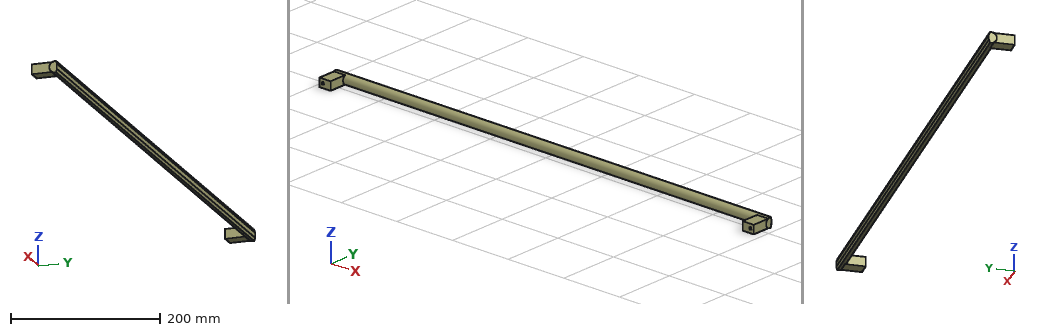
import cadquery as cq
overall_length = 780.0
overall_depth = 36.0
bar_radius = 8.0
bar_depth = 11.0
back_bevel_height = 4.5
back_bevel_depth = 1.5
post_width = 20.0
post_height = 14.0
screw_hole_diameter = 4.0
screw_hole_depth = 10.0
screw_hole_inset = 6.0

half_length = overall_length / 2
bar_back = bar_depth - bar_radius
bevel_start = bar_back - back_bevel_depth
back_half_height = bar_radius - back_bevel_height
post_front = bar_back - overall_depth


def make_bar():
    """Bar along X: half-round front, short flat top and bottom, and a bevelled back facing +Y."""
    return (
        cq.Workplane("YZ")
        .moveTo(bar_back, back_half_height)
        .lineTo(bevel_start, bar_radius)
        .lineTo(0, bar_radius)
        .threePointArc((-bar_radius, 0), (0, -bar_radius))
        .lineTo(bevel_start, -bar_radius)
        .lineTo(bar_back, -back_half_height)
        .close()
        .extrude(half_length, both=True)
    )


def make_post(side, bar):
    """Post at one end (side -1 or +1), saddled onto the bar's round front, with a blind screw hole."""
    block = (
        cq.Workplane("XY")
        .box(post_width, -post_front, post_height, centered=(True, False, True))
        .translate((side * (half_length - post_width / 2), post_front, 0))
    )
    screw_hole = (
        cq.Workplane("XZ")
        .center(side * (half_length - screw_hole_inset), 0)
        .circle(screw_hole_diameter / 2)
        .extrude(-screw_hole_depth)
        .translate((0, post_front, 0))
    )
    return block.cut(bar).cut(screw_hole)


bar = make_bar()
posts = [make_post(side, bar) for side in (-1, 1)]

result = cq.Compound.makeCompound([bar.val(), *[post.val() for post in posts]])